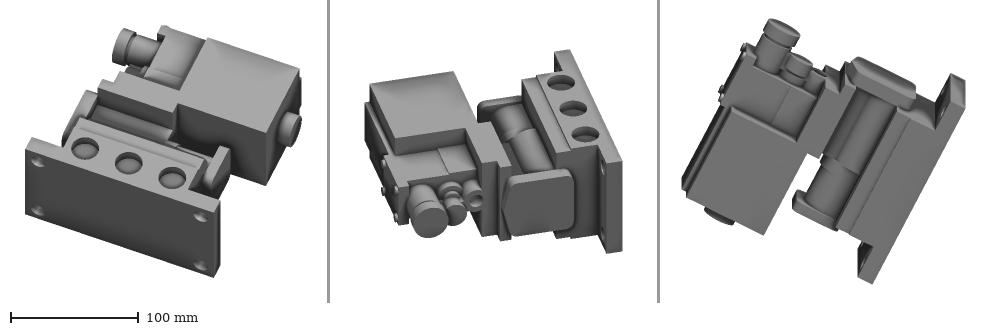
import cadquery as cq


plate_length = 160.5
plate_thickness = 13.0
plate_height = 86.0
mount_hole_dia = 12.2
mount_hole_inset_x = 11.1
mount_hole_pitch_z = 63.9

manifold_left = 27.0
manifold_right = 132.7
manifold_step_y = 34.8
manifold_back_y = 46.6
manifold_back_height = 81.9
port_dia = 21.9
port_depth = 8.5
port_y = 18.7
port_pitch = 37.0

housing_right = 90.7
bore_axis_y = 49.8
bore_radius = 22.2
neck_height = 24.7

left_cap_x = 16.2
left_cap_front_y = 35.3
left_cap_shoulder_y = 86.0
left_cap_peak_y = 92.1
left_cap_height = 50.5
left_cap_fillet = 6.5
right_cap_x = 140.8
right_cap_front_y = 40.6
right_cap_back_y = 80.8
right_cap_height = 40.6
right_cap_fillet = 6.2

barrel_radius = 17.6
barrel_step_x = 100.6
barrel_collar_y = 59.3
barrel_body_y = 57.2

pilot_height = 70.2
pilot_front_y = 82.8
pilot_left_x = 36.5
pilot_shelf_y = 104.5
coil_left_x = 87.4
coil_right_x = 165.7
coil_front_y = 93.0
coil_back_y = 161.3

centre_left_x = 51.7
centre_height = 36.2
centre_wide_height = 38.8
pilot_axis_y = 127.0
strip_back_y = 165.4
flange_left_x = 44.7
flange_back_y = 170.0
screw_top_y = 172.0
screw_dia = 7.0
screw_pitch_x = 38.0
screw_pitch_z = 25.8
screw_mid_x = 67.5

button_end_x = 176.5
button_dia = 26.1

knob_axis_y = 151.0
knob_head_dia = 28.5
knob_neck_dia = 21.9
knob_body_dia = 26.0
knob_neck_x = 25.6
knob_body_x = 28.6

small_knob_x = 31.2
small_knob_y = 128.0
small_knob_z = -6.9
small_knob_dia = 20.0
stem_x = 41.8
stem_dia = 13.8
seat_x = 45.4
seat_dia = 23.0

boss_y = 108.9
boss_dia = 20.5
boss_bore_dia = 11.3

web_bottom_z = -7.8
knob_web_top_z = -0.4
boss_web_top_z = 1.2


def box(x0, x1, y0, y1, z0, z1):
    """Block between two opposite corners."""
    return cq.Workplane("XY").box(x1 - x0, y1 - y0, z1 - z0, centered=False).translate((x0, y0, z0))


def slab(x0, x1, y0, y1, height):
    """Block centred on the mid-plane."""
    return box(x0, x1, y0, y1, -height / 2, height / 2)


def rod(x0, x1, y, dia, z=0):
    """Cylinder along X."""
    return cq.Workplane("YZ", origin=(x0, y, z)).circle(dia / 2).extrude(x1 - x0)


def make_base():
    plate = slab(0, plate_length, 0, plate_thickness, plate_height)
    manifold = slab(manifold_left, manifold_right, 0, manifold_step_y, plate_height)
    ledge = slab(manifold_left, manifold_right, manifold_step_y, manifold_back_y, manifold_back_height)
    base = plate.union(manifold).union(ledge)

    mount_holes = (
        cq.Workplane("XZ", origin=(plate_length / 2, 0, 0))
        .rarray(plate_length - 2 * mount_hole_inset_x, mount_hole_pitch_z, 2, 2)
        .circle(mount_hole_dia / 2)
        .extrude(-plate_thickness)
    )
    ports = (
        cq.Workplane("XY", origin=(plate_length / 2, port_y, plate_height / 2))
        .rarray(port_pitch, 1.8, 3, 1)
        .circle(port_dia / 2)
        .extrude(-port_depth)
    )
    return base.cut(mount_holes).cut(ports)


def make_spool_housing():
    bore_casing = rod(manifold_left, housing_right, bore_axis_y, 2 * bore_radius)
    neck = slab(manifold_left, housing_right, bore_axis_y, pilot_front_y, neck_height)
    return bore_casing.union(neck)


def make_left_cap():
    half = left_cap_height / 2
    outline = [
        (left_cap_front_y, -half),
        (left_cap_shoulder_y, -half),
        (left_cap_peak_y, 0),
        (left_cap_shoulder_y, half),
        (left_cap_front_y, half),
    ]
    cap = cq.Workplane("YZ", origin=(left_cap_x, 0, 0)).polyline(outline).close()
    cap = cap.extrude(manifold_left - left_cap_x)
    return cap.edges("|X and (not >Y)").fillet(left_cap_fillet)


def make_right_cap():
    cap = slab(manifold_right, right_cap_x, right_cap_front_y, right_cap_back_y, right_cap_height)
    return cap.edges("|X").fillet(right_cap_fillet)


def make_barrel_section(x0, x1, axis_y):
    """Round-backed bar whose flat sides run into the manifold."""
    flank = slab(x0, x1, manifold_step_y, axis_y, 2 * barrel_radius)
    return rod(x0, x1, axis_y, 2 * barrel_radius).union(flank)


def make_pilot_body():
    foot = slab(manifold_left, housing_right, pilot_front_y, left_cap_peak_y, pilot_height)
    shelf = slab(pilot_left_x, housing_right, left_cap_peak_y, pilot_shelf_y, pilot_height)
    coil = slab(coil_left_x, coil_right_x, coil_front_y, coil_back_y, pilot_height)
    wide = slab(centre_left_x, coil_left_x, pilot_shelf_y, pilot_axis_y, centre_wide_height)
    narrow = slab(centre_left_x, housing_right, pilot_axis_y, flange_back_y, centre_height)
    flange = slab(flange_left_x, housing_right, coil_back_y, flange_back_y, centre_height)
    strip = slab(housing_right, coil_right_x, coil_back_y, strip_back_y, centre_height)
    button = rod(coil_right_x, button_end_x, pilot_axis_y, button_dia)
    screws = (
        cq.Workplane("XZ", origin=(screw_mid_x, flange_back_y, 0))
        .rarray(screw_pitch_x, screw_pitch_z, 2, 2)
        .circle(screw_dia / 2)
        .extrude(flange_back_y - screw_top_y)
    )
    body = foot
    for piece in (shelf, coil, wide, narrow, flange, strip, button, screws):
        body = body.union(piece)
    return body


def make_large_knob():
    head = rod(left_cap_x, knob_neck_x, knob_axis_y, knob_head_dia)
    neck = rod(knob_neck_x, knob_body_x, knob_axis_y, knob_neck_dia)
    body = rod(knob_body_x, centre_left_x, knob_axis_y, knob_body_dia)
    return head.union(neck).union(body)


def make_small_knob():
    knob = rod(small_knob_x, stem_x, small_knob_y, small_knob_dia, small_knob_z)
    stem = rod(stem_x, seat_x, pilot_axis_y, stem_dia)
    seat = rod(seat_x, centre_left_x, pilot_axis_y, seat_dia)
    knob_web = box(small_knob_x, seat_x, small_knob_y, knob_axis_y, web_bottom_z, knob_web_top_z)
    boss_web = box(pilot_left_x, seat_x, boss_y, small_knob_y, web_bottom_z, boss_web_top_z)
    return knob.union(stem).union(seat).union(knob_web).union(boss_web)


result = make_base()
for part in (
    make_spool_housing(),
    make_left_cap(),
    make_right_cap(),
    make_barrel_section(housing_right, barrel_step_x, barrel_collar_y),
    make_barrel_section(barrel_step_x, manifold_right, barrel_body_y),
    make_pilot_body(),
    make_large_knob(),
    make_small_knob(),
    rod(pilot_left_x, centre_left_x, boss_y, boss_dia),
):
    result = result.union(part)

result = result.cut(rod(pilot_left_x, centre_left_x, boss_y, boss_bore_dia))